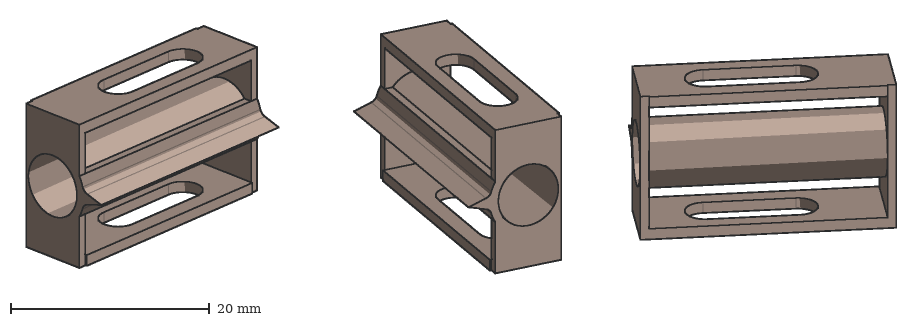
import cadquery as cq
import math

length = 25.92
width = 7.41
height = 15.86
end_wall = 0.88
top_wall = 1.2

bore_diameter = 6.75
tube_diameter = 7.15

ridge_radius = 4.33
tip_reach = 6.75
tip_half_angle = 17.0
root_fillet = 0.9

slot_length = 13.48
slot_width = 4.05
slot_offset = 1.3

lip_thickness = 0.18

inner_length = length - 2 * end_wall
inner_height = height - 2 * top_wall
half_width = width / 2


def cylinder_along_y(diameter, span):
    return cq.Workplane("XZ").circle(diameter / 2).extrude(span / 2, both=True)


def make_frame():
    outer = cq.Workplane("XY").box(width, length, height)
    opening = cq.Workplane("XY").box(width, inner_length, inner_height)
    slots = (
        cq.Workplane("XY")
        .center(0, slot_offset)
        .slot2D(slot_length, slot_width, 90)
        .extrude(height, both=True)
    )
    return outer.cut(opening).cut(slots)


def make_ridge():
    """Rounded backing that meets the frame face, with a pointed edge filleted into it."""
    half_height = math.sqrt(ridge_radius**2 - half_width**2)
    backing = (
        cq.Workplane("XZ")
        .moveTo(0, -half_height)
        .lineTo(half_width, -half_height)
        .threePointArc((ridge_radius, 0), (half_width, half_height))
        .lineTo(0, half_height)
        .close()
        .extrude(length / 2, both=True)
    )
    point_root = tip_reach - half_width
    root_half_height = point_root * math.tan(math.radians(tip_half_angle))
    point = (
        cq.Workplane("XZ")
        .polyline([(half_width, -root_half_height), (tip_reach, 0), (half_width, root_half_height)])
        .close()
        .extrude(length / 2, both=True)
    )
    root_edges = cq.selectors.BoxSelector(
        (half_width, -length, -root_half_height),
        ((half_width + tip_reach) / 2, length, root_half_height),
    )
    return backing.union(point).edges("|Y").edges(root_edges).fillet(root_fillet)


def make_lip(side):
    """Lip on the +X lower edge (side = 1) or the -X upper edge (side = -1)."""
    x_centre = side * (half_width + lip_thickness / 2)
    z_centre = -side * (height - top_wall) / 2
    return cq.Workplane("XY").box(lip_thickness, inner_length, top_wall).translate((x_centre, 0, z_centre))


result = make_frame().union(cylinder_along_y(tube_diameter, length)).union(make_ridge())
for side in (-1, 1):
    result = result.union(make_lip(side))
result = result.cut(cylinder_along_y(bore_diameter, length))